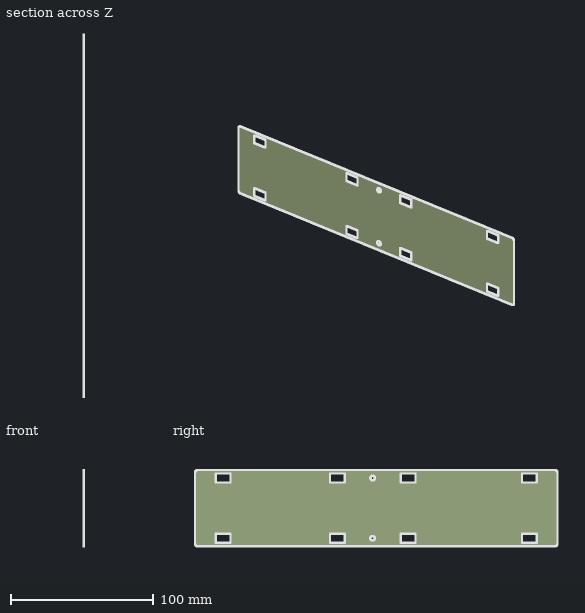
import cadquery as cq

thickness = 0.1
length = 255.0
height = 53.8
corner_radius = 2.0

row_height = 21.2
row_levels = (row_height, -row_height)

window_length = 10.2
window_height = 6.0
outer_window_offset = 107.5
window_positions = (outer_window_offset, 22.5, -27.3, -outer_window_offset)

hole_diameter = 3.0
hole_position = -2.5


def make_plate():
    """Plate with rounded corners."""
    plate = cq.Workplane("XY").box(thickness, length, height)
    return plate.edges("|X").fillet(corner_radius)


def cut_windows(plate):
    """Rectangular windows through the plate, in both rows."""
    centres = [(y, z) for y in window_positions for z in row_levels]
    windows = (
        cq.Workplane("YZ")
        .pushPoints(centres)
        .rect(window_length, window_height)
        .extrude(thickness, both=True)
    )
    return plate.cut(windows)


def cut_holes(plate):
    """One small round hole through the plate in each row."""
    centres = [(hole_position, z) for z in row_levels]
    holes = (
        cq.Workplane("YZ")
        .pushPoints(centres)
        .circle(hole_diameter / 2)
        .extrude(thickness, both=True)
    )
    return plate.cut(holes)


result = cut_holes(cut_windows(make_plate()))